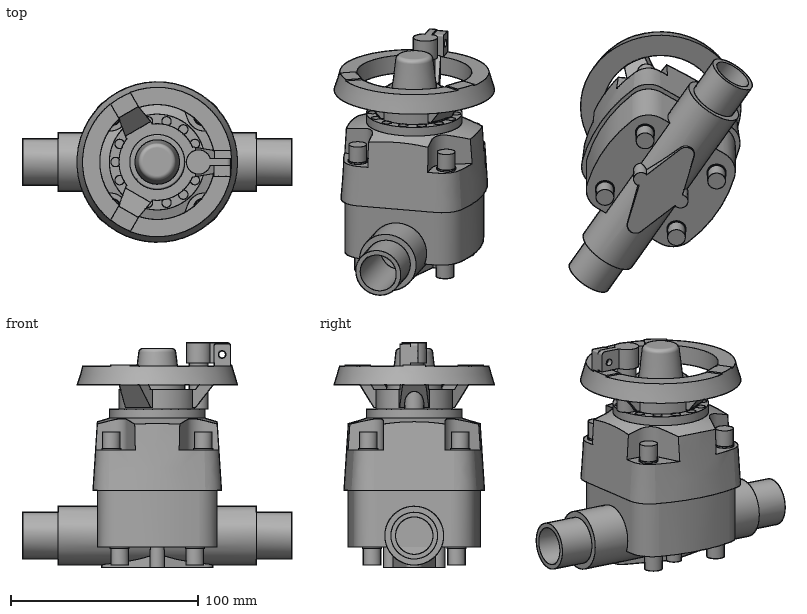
import cadquery as cq
import math

PIPE_LENGTH = 144.0
PIPE_DIAMETER = 25.0
BORE_DIAMETER = 20.0
BORE_RAMP_ANGLE = 83.0
SLEEVE_LENGTH = 106.0
SLEEVE_DIAMETER = 31.45

FOOT_Z = -17.05
BODY_Z = -6.1
BONNET_Z = 24.2
LEDGE_Z = 45.85
DISC_Z = 62.8
DISC_TOP_Z = 67.65

BODY_HALF_X = 32.0
BODY_HALF_Y = 35.6
BODY_CORNER_Y = 19.7
BODY_CORNER_RADIUS = 13.07
BONNET_HALF_X = 34.4
BONNET_HALF_Y = 37.6
BONNET_CORNER_Y = 21.5
BONNET_CORNER_RADIUS = 12.55
BONNET_DRAFT = 3.7
BONNET_TOP_SLOPE = 0.3

POCKET_X = 25.3
POCKET_Y = 26.2
POCKET_RADIUS = 9.65
POCKET_FLARE = 20.0
POCKET_REACH = 30.0

SCREW_DIAMETER = 9.48
SCREW_COLLAR_DIAMETER = 10.24
SCREW_COLLAR_HEIGHT = 0.8
UPPER_SCREW_OFFSET = 24.55
UPPER_SCREW_HEIGHT = 9.6
LOWER_SCREW_X = 20.1
LOWER_SCREW_Y = 22.6
LOWER_SCREW_HEIGHT = 9.7

FOOT_PIN_DIAMETER = 8.0
FOOT_PIN_Y = 12.45
FOOT_END_X = 25.2
FOOT_END_RADIUS = 4.5
FOOT_PEAK_Y = 12.5

DISC_DIAMETER = 51.2
DIMPLE_COUNT = 14
DIMPLE_DIAMETER = 5.0
DIMPLE_CIRCLE_RADIUS = 22.3
DIMPLE_DEPTH = 2.0
HUB_RADIUS = 20.48
HUB_TOP_Z = 78.2
COLLAR_TOP_Z = 82.0
COLLAR_DIAMETER = 29.44
COLLAR_ROUND = 0.8

WHEEL_Z = 80.6
WHEEL_TOP_Z = 90.6
WHEEL_BOTTOM_DIAMETER = 85.87
WHEEL_TOP_DIAMETER = 79.86
WHEEL_INNER_DIAMETER = 61.43
SPOKE_COUNT = 3
SPOKE_Z = 68.45
SPOKE_INNER_HALF_WIDTH = 7.8
SPOKE_OUTER_HALF_WIDTH = 6.1
SPOKE_RISE = 13.1
PAD_HEIGHT = 0.7
PAD_TOP_Z = WHEEL_TOP_Z + PAD_HEIGHT

KNOB_BOTTOM_RADIUS = 11.9
KNOB_TOP_RADIUS = 9.65
KNOB_TOP_Z = 100.1
KNOB_ROUND = 2.4

POST_X = 22.1
POST_DIAMETER = 10.24
CAP_DIAMETER = 13.0
CAP_Z = 92.2
CAP_TOP_Z = 103.2
ARM_WIDTH = 3.84
ARM_END_X = 39.2
ARM_END_ROUND = 2.0
LUG_START_X = 30.4
LUG_OUTER_Y = 7.7
LUG_TOP_Z = 102.4
LUG_ROUND = 0.9
LUG_HOLE_DIAMETER = 4.09
ARM_HOLE_DIAMETER = 3.58
LOCK_HOLE_X = 34.65
LOCK_HOLE_Z = 96.8


def cylinder(diameter, bottom, top, x=0.0, y=0.0):
    return cq.Workplane("XY", origin=(x, y, bottom)).circle(diameter / 2).extrude(top - bottom)


def four_corners(x, y):
    return [(sign_x * x, sign_y * y) for sign_x in (1, -1) for sign_y in (1, -1)]


def housing_outline(z, half_x, half_y, corner_y, corner_radius):
    """Flat sides across X, bowed sides across Y, joined by tangent corner arcs."""
    corner_x = half_x - corner_radius
    drop = corner_y - half_y
    bow_radius = (corner_radius**2 - corner_x**2 - drop**2) / (2 * (drop + corner_radius))
    end_angle = math.atan2(corner_y - half_y + bow_radius, corner_x)

    def on_corner(angle):
        return (
            corner_x + corner_radius * math.cos(angle),
            corner_y + corner_radius * math.sin(angle),
        )

    mid_x, mid_y = on_corner(end_angle / 2)
    end_x, end_y = on_corner(end_angle)
    return (
        cq.Workplane("XY", origin=(0, 0, z))
        .moveTo(half_x, -corner_y)
        .lineTo(half_x, corner_y)
        .threePointArc((mid_x, mid_y), (end_x, end_y))
        .threePointArc((0, half_y), (-end_x, end_y))
        .threePointArc((-mid_x, mid_y), (-half_x, corner_y))
        .lineTo(-half_x, -corner_y)
        .threePointArc((-mid_x, -mid_y), (-end_x, -end_y))
        .threePointArc((0, -half_y), (end_x, -end_y))
        .threePointArc((mid_x, -mid_y), (half_x, -corner_y))
        .close()
    )


def make_pipe():
    pipe = cq.Workplane("YZ").circle(PIPE_DIAMETER / 2).extrude(PIPE_LENGTH / 2, both=True)
    sleeve = cq.Workplane("YZ").circle(SLEEVE_DIAMETER / 2).extrude(SLEEVE_LENGTH / 2, both=True)
    return pipe.union(sleeve)


def make_bores():
    """Blind bores from both pipe ends up to the body, each ending in a ramp up to the body underside."""
    bore = cq.Workplane("YZ").circle(BORE_DIAMETER / 2).extrude(PIPE_LENGTH / 2, both=True)
    core = cq.Workplane("XY").box(2 * BODY_HALF_X, SLEEVE_DIAMETER, SLEEVE_DIAMETER)
    ramp_start_x = BODY_HALF_X + (BORE_DIAMETER / 2 + BODY_Z) / math.tan(math.radians(BORE_RAMP_ANGLE))
    ramps = (
        cq.Workplane("XZ")
        .moveTo(-ramp_start_x, -BORE_DIAMETER / 2)
        .lineTo(-BODY_HALF_X, BODY_Z)
        .lineTo(BODY_HALF_X, BODY_Z)
        .lineTo(ramp_start_x, -BORE_DIAMETER / 2)
        .close()
        .extrude(BORE_DIAMETER / 2, both=True)
    )
    return bore.cut(core).cut(ramps)


def make_body():
    outline = housing_outline(BODY_Z, BODY_HALF_X, BODY_HALF_Y, BODY_CORNER_Y, BODY_CORNER_RADIUS)
    return outline.extrude(BONNET_Z - BODY_Z)


def make_foot():
    """Diamond web with rounded ends and a pin at each side."""
    height = BODY_Z - FOOT_Z
    span = math.hypot(FOOT_END_X, FOOT_PEAK_Y)
    peak_direction = math.atan2(FOOT_PEAK_Y, -FOOT_END_X)
    normal = peak_direction - math.acos(FOOT_END_RADIUS / span)
    tangent_x = FOOT_END_X + FOOT_END_RADIUS * math.cos(normal)
    tangent_y = FOOT_END_RADIUS * math.sin(normal)
    tip_x = FOOT_END_X + FOOT_END_RADIUS
    foot = (
        cq.Workplane("XY", origin=(0, 0, FOOT_Z))
        .moveTo(0, FOOT_PEAK_Y)
        .lineTo(tangent_x, tangent_y)
        .threePointArc((tip_x, 0), (tangent_x, -tangent_y))
        .lineTo(0, -FOOT_PEAK_Y)
        .lineTo(-tangent_x, -tangent_y)
        .threePointArc((-tip_x, 0), (-tangent_x, tangent_y))
        .close()
        .extrude(height)
    )
    for side in (1, -1):
        foot = foot.union(cylinder(FOOT_PIN_DIAMETER, FOOT_Z, BODY_Z, y=side * FOOT_PIN_Y))
    return foot


def make_corner_pocket():
    """Rounded pocket, open to the +X and +Y sides; one wall runs along X, the other is flared."""
    flare = math.radians(POCKET_FLARE)
    wall_x = POCKET_X - POCKET_RADIUS * math.cos(flare)
    wall_y = POCKET_Y - POCKET_RADIUS * math.sin(flare)
    middle = math.pi + (math.pi / 2 + flare) / 2
    middle_point = (
        POCKET_X + POCKET_RADIUS * math.cos(middle),
        POCKET_Y + POCKET_RADIUS * math.sin(middle),
    )
    return (
        cq.Workplane("XY", origin=(0, 0, LEDGE_Z))
        .moveTo(wall_x - POCKET_REACH * math.sin(flare), wall_y + POCKET_REACH * math.cos(flare))
        .lineTo(wall_x, wall_y)
        .threePointArc(middle_point, (POCKET_X, POCKET_Y - POCKET_RADIUS))
        .lineTo(POCKET_X + POCKET_REACH, POCKET_Y - POCKET_RADIUS)
        .lineTo(POCKET_X + POCKET_REACH, wall_y + POCKET_REACH * math.cos(flare))
        .close()
        .extrude(DISC_Z - LEDGE_Z)
    )


def make_bonnet():
    outline = housing_outline(
        BONNET_Z, BONNET_HALF_X, BONNET_HALF_Y, BONNET_CORNER_Y, BONNET_CORNER_RADIUS
    )
    bonnet = outline.extrude(DISC_Z - BONNET_Z, taper=BONNET_DRAFT)
    rim_radius = BONNET_HALF_X + BONNET_HALF_Y
    rim_z = DISC_Z - BONNET_TOP_SLOPE * (rim_radius - DISC_DIAMETER / 2)
    sloped_roof = (
        cq.Workplane("XZ")
        .moveTo(0, BONNET_Z)
        .lineTo(rim_radius, BONNET_Z)
        .lineTo(rim_radius, rim_z)
        .lineTo(DISC_DIAMETER / 2, DISC_Z)
        .lineTo(0, DISC_Z)
        .close()
        .revolve(360, (0, 0), (0, 1))
    )
    bonnet = bonnet.intersect(sloped_roof)
    pocket = make_corner_pocket()
    pocket_pair = pocket.union(pocket.mirror("YZ"))
    return bonnet.cut(pocket_pair).cut(pocket_pair.mirror("XZ"))


def make_screws():
    screws = cq.Workplane("XY")
    for x, y in four_corners(UPPER_SCREW_OFFSET, UPPER_SCREW_OFFSET):
        head = cylinder(SCREW_DIAMETER, LEDGE_Z, LEDGE_Z + UPPER_SCREW_HEIGHT, x, y)
        collar = cylinder(SCREW_COLLAR_DIAMETER, LEDGE_Z, LEDGE_Z + SCREW_COLLAR_HEIGHT, x, y)
        screws = screws.add(head.union(collar))
    for x, y in four_corners(LOWER_SCREW_X, LOWER_SCREW_Y):
        end = cylinder(SCREW_DIAMETER, BODY_Z - LOWER_SCREW_HEIGHT, BODY_Z, x, y)
        collar = cylinder(SCREW_COLLAR_DIAMETER, BODY_Z - SCREW_COLLAR_HEIGHT, BODY_Z, x, y)
        screws = screws.add(end.union(collar))
    return screws.combine()


def make_disc():
    dimples = (
        cq.Workplane("XY", origin=(0, 0, DISC_TOP_Z))
        .polarArray(DIMPLE_CIRCLE_RADIUS, 0, 360, DIMPLE_COUNT)
        .circle(DIMPLE_DIAMETER / 2)
        .extrude(-DIMPLE_DEPTH)
    )
    return cylinder(DISC_DIAMETER, DISC_Z, DISC_TOP_Z).cut(dimples)


def make_hub():
    hub = cylinder(2 * HUB_RADIUS, DISC_TOP_Z, HUB_TOP_Z)
    collar = cylinder(COLLAR_DIAMETER, HUB_TOP_Z, COLLAR_TOP_Z).faces(">Z").edges().fillet(COLLAR_ROUND)
    return hub.union(collar)


def make_knob():
    return (
        cq.Workplane("XZ")
        .moveTo(0, COLLAR_TOP_Z)
        .lineTo(KNOB_BOTTOM_RADIUS, COLLAR_TOP_Z)
        .lineTo(KNOB_TOP_RADIUS, KNOB_TOP_Z)
        .lineTo(0, KNOB_TOP_Z)
        .close()
        .revolve(360, (0, 0), (0, 1))
        .faces(">Z")
        .edges()
        .fillet(KNOB_ROUND)
    )


def rim_radius_at(z):
    """Radius of the conical outside of the rim at height z."""
    bottom_radius = WHEEL_BOTTOM_DIAMETER / 2
    slope = (bottom_radius - WHEEL_TOP_DIAMETER / 2) / (WHEEL_TOP_Z - WHEEL_Z)
    return bottom_radius - slope * (z - WHEEL_Z)


def rim_cone(bottom, top):
    return (
        cq.Workplane("XZ")
        .moveTo(0, bottom)
        .lineTo(rim_radius_at(bottom), bottom)
        .lineTo(rim_radius_at(top), top)
        .lineTo(0, top)
        .close()
        .revolve(360, (0, 0), (0, 1))
    )


def make_rim_blank():
    """Straight-sided ring, before its outside is trimmed to a cone."""
    ring = cylinder(WHEEL_BOTTOM_DIAMETER, WHEEL_Z, WHEEL_TOP_Z)
    return ring.cut(cylinder(WHEEL_INNER_DIAMETER, WHEEL_Z, WHEEL_TOP_Z))


def make_spoke():
    """Rising spoke along +X that ends in a raised pad across the rim."""
    inner_radius = WHEEL_INNER_DIAMETER / 2
    outer_radius = WHEEL_BOTTOM_DIAMETER / 2
    profile = (
        cq.Workplane("XZ")
        .moveTo(0, SPOKE_Z)
        .lineTo(HUB_RADIUS, SPOKE_Z)
        .lineTo(inner_radius, SPOKE_Z + SPOKE_RISE)
        .lineTo(outer_radius, SPOKE_Z + SPOKE_RISE)
        .lineTo(outer_radius, PAD_TOP_Z)
        .lineTo(inner_radius, PAD_TOP_Z)
        .lineTo(HUB_RADIUS, HUB_TOP_Z)
        .lineTo(0, HUB_TOP_Z)
        .close()
        .extrude(HUB_RADIUS, both=True)
    )
    flare = (SPOKE_INNER_HALF_WIDTH - SPOKE_OUTER_HALF_WIDTH) / (inner_radius - HUB_RADIUS)
    root_x = HUB_RADIUS / 2
    root_half_width = SPOKE_INNER_HALF_WIDTH + flare * (HUB_RADIUS - root_x)
    plan = (
        cq.Workplane("XY", origin=(0, 0, SPOKE_Z))
        .moveTo(root_x, root_half_width)
        .lineTo(inner_radius, SPOKE_OUTER_HALF_WIDTH)
        .lineTo(outer_radius, SPOKE_OUTER_HALF_WIDTH)
        .lineTo(outer_radius, -SPOKE_OUTER_HALF_WIDTH)
        .lineTo(inner_radius, -SPOKE_OUTER_HALF_WIDTH)
        .lineTo(root_x, -root_half_width)
        .close()
        .extrude(PAD_TOP_Z - SPOKE_Z)
    )
    return profile.intersect(plan)


def make_handwheel():
    wheel = make_rim_blank()
    spoke = make_spoke()
    for index in range(SPOKE_COUNT):
        wheel = wheel.union(spoke.rotate((0, 0, 0), (0, 0, 1), index * 360 / SPOKE_COUNT))
    wheel = wheel.intersect(rim_cone(SPOKE_Z, PAD_TOP_Z))
    return wheel.union(make_hub()).union(make_knob())


def make_lock_lever():
    """Post with a cap, and an arm that carries a drilled lug on the rim."""
    post = cylinder(POST_DIAMETER, DISC_TOP_Z, CAP_Z, POST_X)
    cap = cylinder(CAP_DIAMETER, CAP_Z, CAP_TOP_Z, POST_X)
    half_width = ARM_WIDTH / 2
    arm = (
        cq.Workplane("XY", origin=(POST_X, -half_width, CAP_Z))
        .box(ARM_END_X - POST_X, ARM_WIDTH, CAP_TOP_Z - CAP_Z, centered=False)
        .edges(">X and >Z")
        .fillet(ARM_END_ROUND)
    )
    lug = (
        cq.Workplane("XY", origin=(LUG_START_X, -LUG_OUTER_Y, WHEEL_TOP_Z))
        .box(ARM_END_X - LUG_START_X, LUG_OUTER_Y - half_width, LUG_TOP_Z - WHEEL_TOP_Z, centered=False)
        .faces(">Z")
        .edges("|Y")
        .fillet(LUG_ROUND)
    )
    hole_plane = cq.Workplane("XZ", origin=(LOCK_HOLE_X, 0, LOCK_HOLE_Z))
    lug_hole = hole_plane.workplane(offset=half_width).circle(LUG_HOLE_DIAMETER / 2).extrude(LUG_OUTER_Y)
    arm_hole = hole_plane.circle(ARM_HOLE_DIAMETER / 2).extrude(ARM_WIDTH, both=True)
    return post.union(cap).union(arm).union(lug).cut(lug_hole).cut(arm_hole)


result = (
    make_pipe()
    .union(make_foot())
    .cut(make_bores())
    .union(make_body())
    .union(make_bonnet())
    .union(make_screws())
    .union(make_disc())
    .union(make_handwheel())
    .union(make_lock_lever())
)